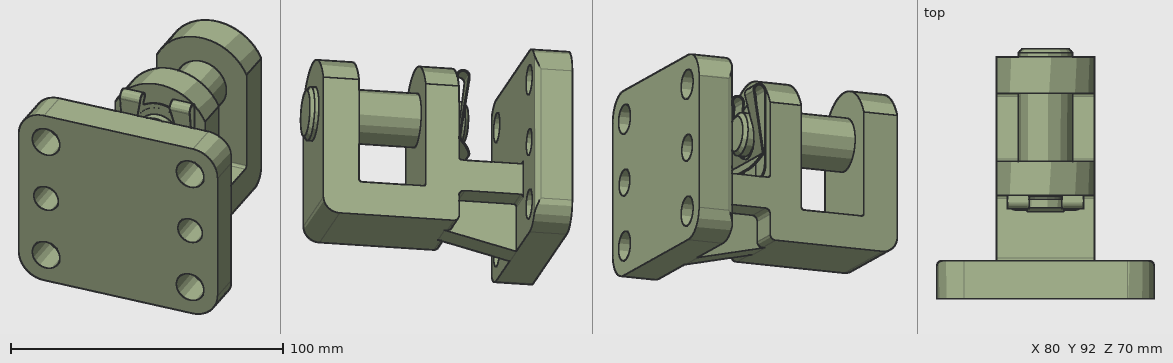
import cadquery as cq
import math

PLATE_WIDTH = 80.0
PLATE_HEIGHT = 70.0
PLATE_THICKNESS = 14.0
PLATE_CORNER_RADIUS = 10.0
PLATE_SIDE_ROUND = 2.0
MOUNT_HOLE_DIAMETER = 11.0
DOWEL_HOLE_DIAMETER = 9.8
HOLE_SPACING_X = 58.0
HOLE_SPACING_Z = 48.0

FORK_WIDTH = 36.2
FORK_FRONT = 38.0
FORK_BACK = 89.0
FORK_BOTTOM = 6.4
SLOT_FRONT = 50.5
SLOT_BACK = 75.5
SLOT_FLOOR = 19.0
CROWN_RADIUS = 20.0
ARM_TOP = 30.0
ARM_BOTTOM = 18.2
GUSSET_WIDTH = 12.0
GUSSET_BACK = 41.0
FORK_HEEL_RADIUS = 6.0
FORK_TOE_RADIUS = 2.0
INNER_FILLET = 1.0

PIN_AXIS_Z = PLATE_HEIGHT - CROWN_RADIUS
PIN_DIAMETER = 20.0
PIN_BACK = 92.0
PIN_FRONT = 32.0
PIN_CHAMFER = 1.5
GROOVE_DIAMETER = 12.0
GROOVE_WIDTH = 1.5
TIP_DIAMETER = 16.0

CLIP_WIDTH = 28.0
CLIP_SHEET = 0.5
CLIP_BEND_DIAMETER = 4.0
CLIP_TOP = 66.2
CLIP_BOTTOM = 32.1
CLIP_GAP = 12.0
CLIP_HOLE_DIAMETER = 18.0
CLIP_CROWN_RADIUS = 12.0
CLIP_CORNER_RADIUS = 4.0
CLIP_NOTCH_FILLET = 0.5
BEND_INNER_RADIUS = CLIP_BEND_DIAMETER / 2
BEND_OUTER_RADIUS = BEND_INNER_RADIUS + CLIP_SHEET
BEND_Y = FORK_FRONT - BEND_OUTER_RADIUS
BEND_Z = CLIP_TOP - BEND_OUTER_RADIUS
LEAF_LEAN = math.radians(8.8)
LEAF_LENGTH = 23.9
LIP_LEAN = math.radians(38)
LIP_LENGTH = 7.0


def box(width, y_range, z_range):
    """Block centred on X = 0 between two Y and two Z values."""
    depth = y_range[1] - y_range[0]
    height = z_range[1] - z_range[0]
    block = cq.Workplane("XY").box(width, depth, height, centered=(True, False, False))
    return block.translate((0, y_range[0], z_range[0]))


def pin_cylinder(diameter, y_start, y_end):
    """Cylinder on the pin axis between two Y values."""
    plane = cq.Plane(origin=(0, y_start, PIN_AXIS_Z), xDir=(-1, 0, 0), normal=(0, 1, 0))
    return cq.Workplane(plane).circle(diameter / 2).extrude(y_end - y_start)


def side_profile(points, width):
    """Closed polygon of (Y, Z) points, extruded symmetrically about X = 0."""
    return cq.Workplane("YZ").polyline(points).close().extrude(width / 2, both=True)


def round_cross_edge(solid, y, z, radius):
    """Fillet the edge that runs along X through the point (Y, Z)."""
    return solid.edges("|X").edges(cq.NearestToPointSelector((0, y, z))).fillet(radius)



def make_plate():
    plate = box(PLATE_WIDTH, (0, PLATE_THICKNESS), (0, PLATE_HEIGHT))
    plate = plate.edges("|Z and >Y").fillet(PLATE_SIDE_ROUND)
    face = cq.Workplane("XZ").center(0, PLATE_HEIGHT / 2)
    outline = face.rect(PLATE_WIDTH, PLATE_HEIGHT).extrude(-PLATE_THICKNESS)
    outline = outline.edges("|Y").fillet(PLATE_CORNER_RADIUS)
    mount_holes = (
        face.rect(HOLE_SPACING_X, HOLE_SPACING_Z, forConstruction=True).vertices()
        .circle(MOUNT_HOLE_DIAMETER / 2).extrude(-PLATE_THICKNESS)
    )
    dowel_holes = (
        face.rarray(HOLE_SPACING_X, 0.9, 2, 1)
        .circle(DOWEL_HOLE_DIAMETER / 2).extrude(-PLATE_THICKNESS)
    )
    return plate.intersect(outline).cut(mount_holes).cut(dowel_holes)


def make_fork():
    fork = side_profile(
        [
            (PLATE_THICKNESS, ARM_BOTTOM),
            (FORK_FRONT, ARM_BOTTOM),
            (FORK_FRONT, FORK_BOTTOM),
            (FORK_BACK, FORK_BOTTOM),
            (FORK_BACK, PLATE_HEIGHT),
            (SLOT_BACK, PLATE_HEIGHT),
            (SLOT_BACK, SLOT_FLOOR),
            (SLOT_FRONT, SLOT_FLOOR),
            (SLOT_FRONT, PLATE_HEIGHT),
            (FORK_FRONT, PLATE_HEIGHT),
            (FORK_FRONT, ARM_TOP),
            (PLATE_THICKNESS, ARM_TOP),
        ],
        FORK_WIDTH,
    )
    fork = round_cross_edge(fork, FORK_BACK, FORK_BOTTOM, FORK_HEEL_RADIUS)
    fork = round_cross_edge(fork, FORK_FRONT, FORK_BOTTOM, FORK_TOE_RADIUS)
    fork = round_cross_edge(fork, FORK_FRONT, ARM_BOTTOM, FORK_TOE_RADIUS)
    fork = round_cross_edge(fork, FORK_FRONT, ARM_TOP, INNER_FILLET)
    for slot_wall in (SLOT_FRONT, SLOT_BACK):
        fork = round_cross_edge(fork, slot_wall, SLOT_FLOOR, INNER_FILLET)
    below_crown = box(FORK_WIDTH, (0, FORK_BACK), (0, PIN_AXIS_Z))
    crown = pin_cylinder(2 * CROWN_RADIUS, 0, FORK_BACK)
    return fork.intersect(below_crown.union(crown))


def make_gusset():
    return side_profile(
        [
            (PLATE_THICKNESS, 0),
            (GUSSET_BACK, FORK_BOTTOM),
            (GUSSET_BACK, ARM_TOP - INNER_FILLET),
            (PLATE_THICKNESS, ARM_TOP - INNER_FILLET),
        ],
        GUSSET_WIDTH,
    )


def make_bracket():
    bracket = make_plate().union(make_fork())
    for arm_face in (ARM_TOP, ARM_BOTTOM):
        bracket = round_cross_edge(bracket, PLATE_THICKNESS, arm_face, INNER_FILLET)
    return bracket.union(make_gusset()).cut(pin_cylinder(PIN_DIAMETER, FORK_FRONT, FORK_BACK))



def make_pin():
    tip_back = FORK_FRONT - GROOVE_WIDTH
    shank = pin_cylinder(PIN_DIAMETER, FORK_FRONT, PIN_BACK).faces(">Y").chamfer(PIN_CHAMFER)
    neck = pin_cylinder(GROOVE_DIAMETER, tip_back, FORK_FRONT)
    tip = pin_cylinder(TIP_DIAMETER, PIN_FRONT, tip_back).faces("<Y").chamfer(PIN_CHAMFER)
    return shank.union(neck).union(tip)



def move_forward(point, length, angle):
    """(Y, Z) point moved toward -Y along a line that climbs at the angle."""
    return (point[0] - length * math.cos(angle), point[1] + length * math.sin(angle))


def move_down(point, length, lean):
    """(Y, Z) point moved down along a line that leans toward -Y by the angle."""
    return (point[0] - length * math.sin(lean), point[1] - length * math.cos(lean))


def make_clip_sheet():
    inner_tangent = move_forward((BEND_Y, BEND_Z), BEND_INNER_RADIUS, -LEAF_LEAN)
    outer_tangent = move_forward((BEND_Y, BEND_Z), BEND_OUTER_RADIUS, -LEAF_LEAN)
    inner_knee = move_down(inner_tangent, LEAF_LENGTH, -LEAF_LEAN)
    miter = CLIP_SHEET / math.cos((LEAF_LEAN + LIP_LEAN) / 2)
    outer_knee = move_forward(inner_knee, miter, (LIP_LEAN - LEAF_LEAN) / 2)
    inner_end = move_down(inner_knee, LIP_LENGTH, LIP_LEAN)
    outer_end = move_forward(inner_end, CLIP_SHEET, LIP_LEAN)
    sheet = (
        cq.Workplane("YZ")
        .moveTo(FORK_FRONT, CLIP_BOTTOM)
        .lineTo(FORK_FRONT, BEND_Z)
        .threePointArc((BEND_Y, CLIP_TOP), outer_tangent)
        .lineTo(*outer_knee)
        .lineTo(*outer_end)
        .lineTo(*inner_end)
        .lineTo(*inner_knee)
        .lineTo(*inner_tangent)
        .threePointArc((BEND_Y, BEND_Z + BEND_INNER_RADIUS), (FORK_FRONT - CLIP_SHEET, BEND_Z))
        .lineTo(FORK_FRONT - CLIP_SHEET, CLIP_BOTTOM)
        .close()
        .extrude(CLIP_WIDTH / 2, both=True)
    )
    lip_y = (inner_end[0] + outer_end[0]) / 2
    lip_z = (inner_end[1] + outer_end[1]) / 2
    back_y = FORK_FRONT - CLIP_SHEET / 2
    for side in (-CLIP_WIDTH / 2, CLIP_WIDTH / 2):
        for corner in ((side, lip_y, lip_z), (side, back_y, CLIP_BOTTOM)):
            sheet = sheet.edges(cq.NearestToPointSelector(corner)).fillet(CLIP_CORNER_RADIUS)
    return sheet


def widening_gap(y_range):
    """Gap CLIP_GAP wide at the bend, widening downward to the tip hole at the pin axis."""
    top = CLIP_GAP / 2
    bottom = CLIP_HOLE_DIAMETER / 2
    plane = cq.Plane(origin=(0, y_range[0], 0), xDir=(1, 0, 0), normal=(0, -1, 0))
    return (
        cq.Workplane(plane)
        .polyline(
            [
                (-bottom, PIN_AXIS_Z),
                (bottom, PIN_AXIS_Z),
                (top, BEND_Z),
                (top, CLIP_TOP),
                (-top, CLIP_TOP),
                (-top, BEND_Z),
            ]
        )
        .close()
        .extrude(y_range[0] - y_range[1])
    )


def make_clip():
    back_leaf_y = (FORK_FRONT - CLIP_SHEET, FORK_FRONT)
    front_y = (PIN_FRONT, FORK_FRONT - CLIP_SHEET)
    neck_slot = box(GROOVE_DIAMETER, back_leaf_y, (CLIP_BOTTOM, PIN_AXIS_Z))
    neck_slot = neck_slot.union(pin_cylinder(GROOVE_DIAMETER, *back_leaf_y))
    top_notch = widening_gap(back_leaf_y).cut(pin_cylinder(2 * CLIP_CROWN_RADIUS, *back_leaf_y))
    top_notch = top_notch.edges("|Y").edges("<Z").fillet(CLIP_NOTCH_FILLET)
    tip_hole = pin_cylinder(CLIP_HOLE_DIAMETER, *front_y)
    leaf_gap = widening_gap(front_y)
    return make_clip_sheet().cut(neck_slot).cut(top_notch).cut(tip_hole).cut(leaf_gap)


bracket = make_bracket()
pin = make_pin()
clip = make_clip()

result = cq.Compound.makeCompound([bracket.solids().val(), pin.solids().val(), clip.solids().val()])